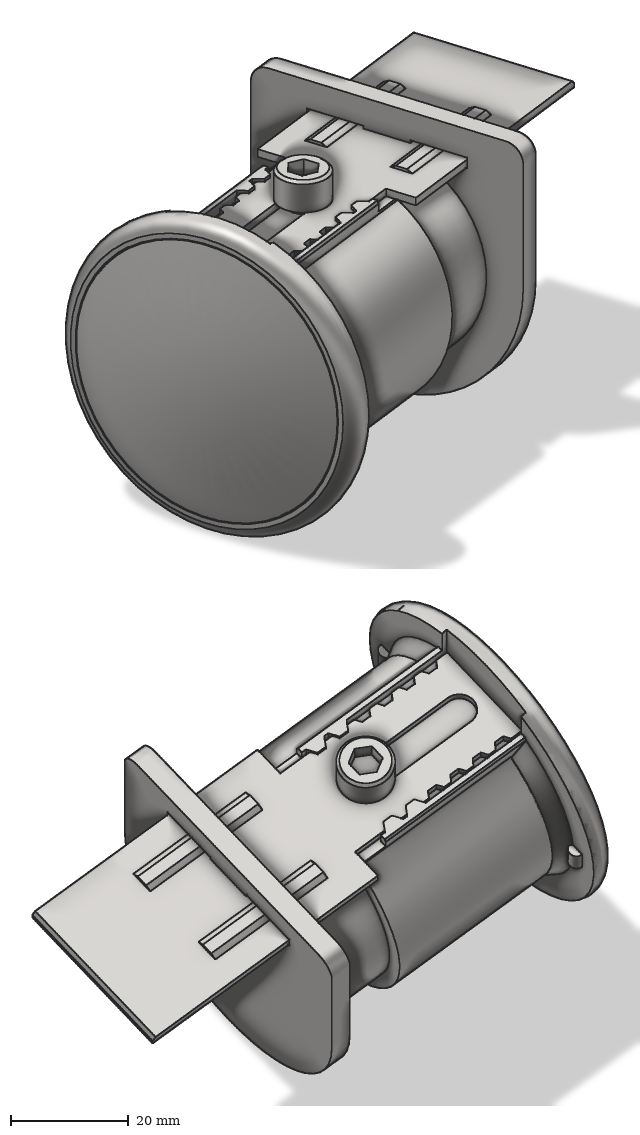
import cadquery as cq
import math


RIM_FRONT_Y = 2.2
RIM_BACK_Y = 6.9
SLEEVE_FRONT_Y = 10.2
SLEEVE_BACK_Y = 43.9
FLANGE_FRONT_Y = 58.9
FLANGE_THICKNESS = 4.0
OVERALL_LENGTH = 92.9

RIM_RADIUS = 30.0
RIM_FACE_RADIUS = 27.5
RIM_CREST_Y = 5.6
DOME_RADIUS = 52.7 / 2
GROOVE_RADIUS = 53.0 / 2
GROOVE_DEPTH = 0.9

SLEEVE_RADIUS = 22.8
CONE_SMALL_RADIUS = 22.4
CONE_LARGE_RADIUS = 24.3
BARREL_RADIUS = 20.1
BARREL_TOP_Z = 17.1
BARREL_BOTTOM_Z = -19.1

FLANGE_RADIUS = 27.5
FLANGE_CORNER_RADIUS = 3.5

LUG_RADIUS = 1.5
LUG_LENGTH = 4.3
LUG_X = 25.2
PIN_DIAMETER = 3.0
PIN_TIP_Z = -23.7
PIN_Y = 38.9

STRAP_BOTTOM_Z = 20.0
STRAP_THICKNESS = 1.5
STRAP_TOP_Z = STRAP_BOTTOM_Z + STRAP_THICKNESS
STRAP_WIDE_HALF = 16.0
STRAP_NARROW_HALF = 9.9
STRAP_SHOULDER_Y = 43.1
STRAP_FRONT_Y = 6.2
STRAP_END_CHAMFER = 0.65
SLOT_WIDTH = 6.0
SLOT_FRONT_Y = 11.8

NOTCH_COUNT = 6
NOTCH_PITCH = 4.9
NOTCH_LAST_Y = 34.9
NOTCH_ROOT_HALF_WIDTH = 8.7
NOTCH_ROOT_LENGTH = 1.9
NOTCH_MOUTH_LENGTH = 3.3

PAD_X = 8.6
PAD_HEIGHT = 0.6
PAD_BASE_WIDTH = 4.5
PAD_TOP_WIDTH = 2.2
PAD_FRONT_Y = 50.0
PAD_BACK_Y = 74.8

GUIDE_HALF_WIDTH = 11.8
CHANNEL_HALF_WIDTH = 10.5
CHANNEL_FRONT_Y = 5.85
RAIL_BACK_Y = 37.9
RAIL_TOP_Z = STRAP_TOP_Z + PAD_HEIGHT
RAIL_CHAMFER_WIDTH = 0.3
RAIL_CHAMFER_HEIGHT = 0.6
RAIL_TEETH = 2

OPENING_HALF_WIDTH = STRAP_WIDE_HALF + 0.2
OPENING_LOW_HALF_WIDTH = 4.7

SCREW_Y = 32.5
SCREW_HEAD_DIAMETER = 10.0
SCREW_HEAD_HEIGHT = 6.0
SCREW_HEAD_CHAMFER = 0.6
SCREW_SHANK_DIAMETER = 5.7
SCREW_SHANK_LENGTH = 9.3
HEX_ACROSS_FLATS = 5.1
HEX_DEPTH = 3.0


def box_between(x_range, y_range, z_range):
    """Box from its limits along each axis."""
    (x0, x1), (y0, y1), (z0, z1) = x_range, y_range, z_range
    return cq.Workplane("XY").box(x1 - x0, y1 - y0, z1 - z0, centered=False).translate((x0, y0, z0))


def extruded_along_y(outline, y_front, y_back):
    """Extrude an outline drawn in X and Z from y_front to y_back."""
    return outline.extrude(-(y_back - y_front)).translate((0, y_front, 0))


def notch_prism(index, side, mouth_half_width):
    """Trapezoidal tooth gap on one side, from its root out to mouth_half_width; index 0 is rearmost."""
    y = NOTCH_LAST_Y - index * NOTCH_PITCH
    rise = STRAP_NARROW_HALF - NOTCH_ROOT_HALF_WIDTH
    flare = (NOTCH_MOUTH_LENGTH - NOTCH_ROOT_LENGTH) / 2 / rise
    root = NOTCH_ROOT_LENGTH / 2
    mouth = root + flare * (mouth_half_width - NOTCH_ROOT_HALF_WIDTH)
    return (
        cq.Workplane("XY", origin=(0, 0, STRAP_BOTTOM_Z))
        .polyline([
            (side * NOTCH_ROOT_HALF_WIDTH, y - root),
            (side * mouth_half_width, y - mouth),
            (side * mouth_half_width, y + mouth),
            (side * NOTCH_ROOT_HALF_WIDTH, y + root),
        ])
        .close()
    )


def turned_body():
    """Dome, grooved rim, cone and sleeve, revolved about the part axis."""
    dome_sphere_radius = (DOME_RADIUS**2 + RIM_FRONT_Y**2) / (2 * RIM_FRONT_Y)
    mid_radius = DOME_RADIUS / 2
    mid_y = dome_sphere_radius - math.sqrt(dome_sphere_radius**2 - mid_radius**2)
    groove_floor_y = RIM_FRONT_Y + GROOVE_DEPTH
    rim_step = RIM_RADIUS - RIM_FACE_RADIUS
    rim_round = (rim_step**2 + (RIM_CREST_Y - RIM_FRONT_Y) ** 2) / (2 * rim_step)
    rim_back_drop = rim_round - math.sqrt(rim_round**2 - (RIM_BACK_Y - RIM_CREST_Y) ** 2)
    return (
        cq.Workplane("XY")
        .moveTo(0, 0)
        .threePointArc((mid_radius, mid_y), (DOME_RADIUS, RIM_FRONT_Y))
        .lineTo(DOME_RADIUS, groove_floor_y)
        .lineTo(GROOVE_RADIUS, groove_floor_y)
        .lineTo(GROOVE_RADIUS, RIM_FRONT_Y)
        .lineTo(RIM_FACE_RADIUS, RIM_FRONT_Y)
        .threePointArc((RIM_RADIUS, RIM_CREST_Y), (RIM_RADIUS - rim_back_drop, RIM_BACK_Y))
        .lineTo(CONE_LARGE_RADIUS, RIM_BACK_Y)
        .lineTo(CONE_SMALL_RADIUS, SLEEVE_FRONT_Y)
        .lineTo(SLEEVE_RADIUS, SLEEVE_FRONT_Y)
        .lineTo(SLEEVE_RADIUS, SLEEVE_BACK_Y)
        .lineTo(0, SLEEVE_BACK_Y)
        .close()
        .revolve(360, (0, 0, 0), (0, 1, 0))
    )


def rear_barrel():
    """Barrel from sleeve to flange, flattened above and below."""
    cylinder = extruded_along_y(cq.Workplane("XZ").circle(BARREL_RADIUS), SLEEVE_BACK_Y, FLANGE_FRONT_Y)
    flats = box_between(
        (-BARREL_RADIUS, BARREL_RADIUS),
        (SLEEVE_BACK_Y, FLANGE_FRONT_Y),
        (BARREL_BOTTOM_Z, BARREL_TOP_Z),
    )
    return cylinder.intersect(flats)


def rear_flange():
    """Flange with a square top, a round bottom and a stepped opening for the strap."""
    flange_back_y = FLANGE_FRONT_Y + FLANGE_THICKNESS
    r = FLANGE_RADIUS
    outline = (
        cq.Workplane("XZ")
        .moveTo(-r, 0)
        .lineTo(-r, r)
        .lineTo(r, r)
        .lineTo(r, 0)
        .threePointArc((0, -r), (-r, 0))
        .close()
    )
    plate = extruded_along_y(outline, FLANGE_FRONT_Y, flange_back_y)
    plate = plate.edges("|Y and >Z").fillet(FLANGE_CORNER_RADIUS)
    opening = (
        cq.Workplane("XZ")
        .moveTo(-OPENING_HALF_WIDTH, STRAP_BOTTOM_Z)
        .lineTo(-OPENING_HALF_WIDTH, RAIL_TOP_Z)
        .lineTo(-OPENING_LOW_HALF_WIDTH, RAIL_TOP_Z)
        .lineTo(-OPENING_LOW_HALF_WIDTH, STRAP_TOP_Z)
        .lineTo(OPENING_LOW_HALF_WIDTH, STRAP_TOP_Z)
        .lineTo(OPENING_LOW_HALF_WIDTH, RAIL_TOP_Z)
        .lineTo(OPENING_HALF_WIDTH, RAIL_TOP_Z)
        .lineTo(OPENING_HALF_WIDTH, STRAP_BOTTOM_Z)
        .close()
    )
    return plate.cut(extruded_along_y(opening, FLANGE_FRONT_Y, flange_back_y))


def strap_guide():
    """Bed under the strap and the two solid rails before the channel is cut between them."""
    bed = box_between(
        (-GUIDE_HALF_WIDTH, GUIDE_HALF_WIDTH), (RIM_BACK_Y, SLEEVE_BACK_Y), (0, STRAP_BOTTOM_Z)
    )
    chamfer_inner = GUIDE_HALF_WIDTH - RAIL_CHAMFER_WIDTH
    chamfer_z = RAIL_TOP_Z - RAIL_CHAMFER_HEIGHT
    rail_block = extruded_along_y(
        cq.Workplane("XZ")
        .polyline([
            (-GUIDE_HALF_WIDTH, STRAP_BOTTOM_Z),
            (-GUIDE_HALF_WIDTH, chamfer_z),
            (-chamfer_inner, RAIL_TOP_Z),
            (chamfer_inner, RAIL_TOP_Z),
            (GUIDE_HALF_WIDTH, chamfer_z),
            (GUIDE_HALF_WIDTH, STRAP_BOTTOM_Z),
        ])
        .close(),
        RIM_BACK_Y, RAIL_BACK_Y,
    )
    return bed.union(rail_block)


def make_housing():
    """Dome, rim, sleeve, barrel and flange, with the guide for the strap."""
    housing = turned_body().union(rear_barrel()).union(rear_flange()).union(strap_guide())

    channel = box_between(
        (-CHANNEL_HALF_WIDTH, CHANNEL_HALF_WIDTH),
        (CHANNEL_FRONT_Y, SLEEVE_BACK_Y),
        (STRAP_BOTTOM_Z, RIM_RADIUS),
    )
    bed_clearance = box_between(
        (-SLEEVE_RADIUS, SLEEVE_RADIUS), (RAIL_BACK_Y, SLEEVE_BACK_Y), (STRAP_BOTTOM_Z, SLEEVE_RADIUS)
    )
    housing = housing.cut(channel).cut(bed_clearance)
    for side in (-1, 1):
        for index in range(RAIL_TEETH):
            tooth = notch_prism(index, side, CHANNEL_HALF_WIDTH)
            housing = housing.union(tooth.extrude(RAIL_TOP_Z - STRAP_BOTTOM_Z))

        lug = (
            cq.Workplane("XY", origin=(side * LUG_X, RIM_BACK_Y, -LUG_LENGTH / 2))
            .circle(LUG_RADIUS)
            .extrude(LUG_LENGTH)
        )
        housing = housing.union(lug)

    pin = cq.Workplane("XY", origin=(0, PIN_Y, PIN_TIP_Z)).circle(PIN_DIAMETER / 2).extrude(-PIN_TIP_Z)
    screw_hole = (
        cq.Workplane("XY", origin=(0, SCREW_Y, STRAP_TOP_Z))
        .circle(SCREW_SHANK_DIAMETER / 2)
        .extrude(-SCREW_SHANK_LENGTH)
    )
    return housing.union(pin).cut(screw_hole).solids()


def strap_pad(side):
    """Raised trapezoidal pad running along the strap."""
    base = PAD_BASE_WIDTH / 2
    top = PAD_TOP_WIDTH / 2
    center = side * PAD_X
    outline = (
        cq.Workplane("XZ")
        .polyline([
            (center - base, STRAP_TOP_Z),
            (center - top, STRAP_TOP_Z + PAD_HEIGHT),
            (center + top, STRAP_TOP_Z + PAD_HEIGHT),
            (center + base, STRAP_TOP_Z),
        ])
        .close()
    )
    return extruded_along_y(outline, PAD_FRONT_Y, PAD_BACK_Y)


def make_strap():
    """Flat toothed strap with an adjusting slot and two raised pads."""
    z_range = (STRAP_BOTTOM_Z, STRAP_TOP_Z)
    wide = box_between((-STRAP_WIDE_HALF, STRAP_WIDE_HALF), (STRAP_SHOULDER_Y, OVERALL_LENGTH), z_range)
    wide = wide.edges(">Y and >Z").chamfer(STRAP_END_CHAMFER)
    narrow = box_between(
        (-STRAP_NARROW_HALF, STRAP_NARROW_HALF), (STRAP_FRONT_Y, STRAP_SHOULDER_Y), z_range
    )
    strap = wide.union(narrow)

    for side in (-1, 1):
        for index in range(NOTCH_COUNT):
            strap = strap.cut(notch_prism(index, side, STRAP_NARROW_HALF).extrude(STRAP_THICKNESS))
        strap = strap.union(strap_pad(side))

    slot = (
        cq.Workplane("XY", origin=(0, (SLOT_FRONT_Y + SCREW_Y) / 2, STRAP_BOTTOM_Z))
        .slot2D(SCREW_Y - SLOT_FRONT_Y + SLOT_WIDTH, SLOT_WIDTH, 90)
        .extrude(STRAP_THICKNESS)
    )
    return strap.cut(slot).solids()


def make_screw():
    """Socket head screw that clamps the strap."""
    head_base = cq.Workplane("XY", origin=(0, SCREW_Y, STRAP_TOP_Z))
    head = head_base.circle(SCREW_HEAD_DIAMETER / 2).extrude(SCREW_HEAD_HEIGHT)
    head = head.faces(">Z").edges().chamfer(SCREW_HEAD_CHAMFER)
    shank = head_base.circle(SCREW_SHANK_DIAMETER / 2).extrude(-SCREW_SHANK_LENGTH)
    hex_across_corners = HEX_ACROSS_FLATS / math.cos(math.pi / 6)
    socket = (
        cq.Workplane("XY", origin=(0, SCREW_Y, STRAP_TOP_Z + SCREW_HEAD_HEIGHT))
        .polygon(6, hex_across_corners)
        .extrude(-HEX_DEPTH)
    )
    return head.union(shank).cut(socket).solids()


housing = make_housing()
strap = make_strap()
screw = make_screw()

result = cq.Compound.makeCompound([housing.val(), strap.val(), screw.val()])